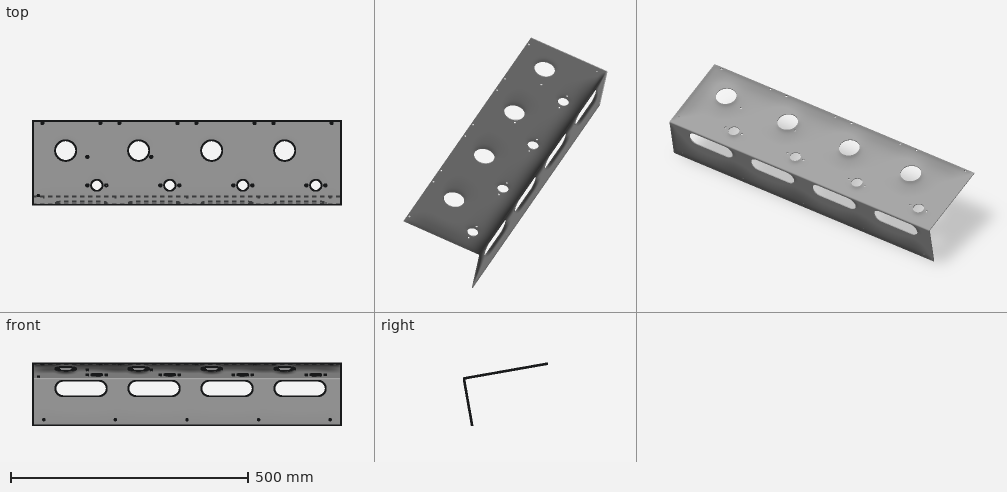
import cadquery as cq

length = 650.0
sheet = 2.0
outer_bend_radius = 3.0
inner_bend_radius = outer_bend_radius - sheet
tilt = 10.0
deck_depth = 180.0
apron_height = 101.31

station_count = 4
station_pitch = 154.0

opening_diameter = 44.0
first_opening_x = 69.0
opening_y = deck_depth - 63.7

connector_diameter = 23.6
first_connector_x = 134.75
connector_y = 42.0
connector_screw_offset = 20.0

slot_length = 108.0
slot_width = 33.0
first_slot_x = 101.5
slot_drop = 22.5

screw_diameter = 4.8
pilot_diameter = 3.17

bay_pitch = length / station_count
bay_screw_spacing = 122.5
back_screw_y = deck_depth - 4.5

deck_screw_xs = (first_connector_x - connector_screw_offset, 249.5)
deck_screw_y = deck_depth - 77.0
corner_pilot_x = 11.5
corner_pilot_y = deck_depth - 160.0

apron_pilot_count = 5
apron_pilot_pitch = 151.0
apron_pilot_drop = apron_height - 12.0

cut_margin = 1.0
cut_depth = sheet + 2 * cut_margin


def station_xs(first_x):
    """X positions of one feature at every station."""
    return [first_x + station_pitch * index for index in range(station_count)]


def make_bent_sheet():
    """Right-angle sheet with a level deck and an upright apron; sharp outer corner on the X axis."""
    profile = (
        cq.Workplane("YZ")
        .moveTo(0, 0)
        .lineTo(deck_depth, 0)
        .lineTo(deck_depth, -sheet)
        .lineTo(sheet, -sheet)
        .lineTo(sheet, -apron_height)
        .lineTo(0, -apron_height)
        .close()
        .extrude(length)
    )
    outer_corner = cq.selectors.NearestToPointSelector((length / 2, 0, 0))
    inner_corner = cq.selectors.NearestToPointSelector((length / 2, sheet, -sheet))
    rounded = profile.edges(outer_corner).fillet(outer_bend_radius)
    return rounded.edges(inner_corner).fillet(inner_bend_radius)


def deck_holes(points, diameter):
    """Round cutters through the deck at (x, y) points."""
    deck_plane = cq.Workplane("XY", origin=(0, 0, -sheet - cut_margin))
    return deck_plane.pushPoints(points).circle(diameter / 2).extrude(cut_depth)


def apron_plane():
    """Plane in front of the apron; local Y is up and cutters extrude towards the back."""
    return cq.Workplane("XZ", origin=(0, -cut_margin, 0))


def cut_openings(body):
    points = [(x, opening_y) for x in station_xs(first_opening_x)]
    return body.cut(deck_holes(points, opening_diameter))


def cut_connectors(body):
    centres = station_xs(first_connector_x)
    points = [(x, connector_y) for x in centres]
    screws = [(x + side * connector_screw_offset, connector_y) for x in centres for side in (-1, 1)]
    return body.cut(deck_holes(points, connector_diameter)).cut(deck_holes(screws, screw_diameter))


def cut_deck_screws(body):
    bay_centres = [bay_pitch * (index + 0.5) for index in range(station_count)]
    back_row = [(x + side * bay_screw_spacing / 2, back_screw_y) for x in bay_centres for side in (-1, 1)]
    lone = [(x, deck_screw_y) for x in deck_screw_xs]
    corner = [(corner_pilot_x, corner_pilot_y)]
    return body.cut(deck_holes(back_row + lone, screw_diameter)).cut(deck_holes(corner, pilot_diameter))


def cut_apron_slots(body):
    points = [(x, -slot_drop) for x in station_xs(first_slot_x)]
    return body.cut(apron_plane().pushPoints(points).slot2D(slot_length, slot_width).extrude(-cut_depth))


def cut_apron_pilots(body):
    first_x = length / 2 - apron_pilot_pitch * (apron_pilot_count - 1) / 2
    points = [(first_x + apron_pilot_pitch * index, -apron_pilot_drop) for index in range(apron_pilot_count)]
    return body.cut(apron_plane().pushPoints(points).circle(pilot_diameter / 2).extrude(-cut_depth))


part = make_bent_sheet()
part = cut_openings(part)
part = cut_connectors(part)
part = cut_deck_screws(part)
part = cut_apron_slots(part)
part = cut_apron_pilots(part)

result = part.rotate((0, 0, 0), (1, 0, 0), tilt)